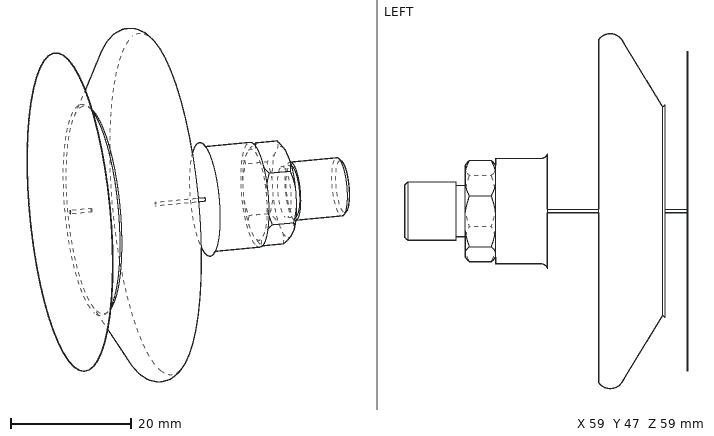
import cadquery as cq
import math


disc_radius = 26.55
disc_thickness = 0.1

cup_radius = 29.5
rim_edge_radius = 28.5
neck_radius = 17.35
lip_radius = 17.65
cup_front = 3.8
neck_station = 4.2
rim_front = 11.0
cup_back = 14.8

flare_radius = 9.5
collar_radius = 17.5 / 2
relief_radius = 8.55 / 2
thread_radius = 9.75 / 2
thread_chamfer = 0.55
collar_front = 23.3
flare_back = 24.4
nut_front = 31.9
nut_back = 37.0
relief_back = 38.45
fitting_back = 47.0

nut_across_flats = 15.0
nut_turn = 43.1
nut_end_radius = 7.6
nut_chamfer_depth = 0.7

core_radius = 0.3


def revolve_about_y(profile):
    return profile.close().revolve(360, (0, 0, 0), (0, 1, 0))


def cylinder(radius, front, back):
    profile = cq.Workplane("XY").moveTo(0, front).lineTo(radius, front).lineTo(radius, back).lineTo(0, back)
    return revolve_about_y(profile)


def make_cup():
    """Flared cup with a rounded outer rim and a small lip at its neck."""
    profile = (
        cq.Workplane("XY")
        .moveTo(0, cup_front)
        .lineTo(lip_radius, cup_front)
        .lineTo(neck_radius, neck_station)
        .lineTo(rim_edge_radius, rim_front)
        .threePointArc((cup_radius, (rim_front + cup_back) / 2), (rim_edge_radius, cup_back))
        .lineTo(0, cup_back)
    )
    return revolve_about_y(profile)


def make_collar():
    """Round collar whose front end flares outwards along a concave arc."""
    flare_growth = flare_radius - collar_radius
    flare_length = flare_back - collar_front
    arc_radius = (flare_growth**2 + flare_length**2) / (2 * flare_growth)
    half_sweep = math.asin(flare_length / arc_radius) / 2
    arc_middle = (
        collar_radius + arc_radius * (1 - math.cos(half_sweep)),
        flare_back - arc_radius * math.sin(half_sweep),
    )
    profile = (
        cq.Workplane("XY")
        .moveTo(0, collar_front)
        .lineTo(flare_radius, collar_front)
        .threePointArc(arc_middle, (collar_radius, flare_back))
        .lineTo(collar_radius, nut_front)
        .lineTo(0, nut_front)
    )
    return revolve_about_y(profile)


def make_nut():
    """Hexagonal nut with its corners bevelled at both ends."""
    corner_radius = nut_across_flats / math.sqrt(3)
    hexagon = (
        cq.Workplane("XZ", origin=(0, nut_front, 0))
        .transformed(rotate=(0, 0, nut_turn))
        .polygon(6, 2 * corner_radius)
        .extrude(nut_front - nut_back)
    )
    bevel_profile = (
        cq.Workplane("XY")
        .moveTo(0, nut_front)
        .lineTo(nut_end_radius, nut_front)
        .lineTo(corner_radius, nut_front + nut_chamfer_depth)
        .lineTo(corner_radius, nut_back - nut_chamfer_depth)
        .lineTo(nut_end_radius, nut_back)
        .lineTo(0, nut_back)
    )
    return hexagon.intersect(revolve_about_y(bevel_profile))


def make_threaded_end():
    """Plain thread cylinder with a relief behind the nut and a chamfered tip."""
    relief = cylinder(relief_radius, nut_back, relief_back)
    thread = cylinder(thread_radius, relief_back, fitting_back).faces(">Y").chamfer(thread_chamfer)
    return relief.union(thread)


disc = cylinder(disc_radius, 0, disc_thickness)
core = cylinder(core_radius, disc_thickness, nut_back)
fitting = make_collar().union(make_nut()).union(make_threaded_end())

result = disc.union(core).union(make_cup()).union(fitting)